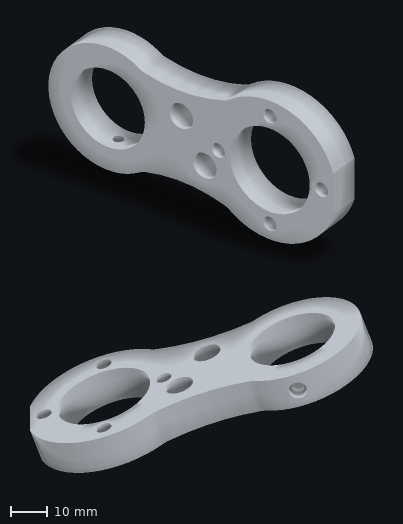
import cadquery as cq
import math

thickness = 10.0
small_ring_radius = 20.0
small_ring_x = -0.14
small_bore_diameter = 25.0
large_ring_radius = 22.5
large_bore_diameter = 27.0
bore_spacing = 54.79
overall_length = 96.43

waist_radius = 49.0
waist_centre_x = 24.3
waist_half_height = 14.6
waist_fillet_radius = 6.5

bolt_diameter = 4.5
bolt_circle_radius = 17.45
bolt_count = 4

link_hole_diameter = 8.0
link_midpoint_x = 28.8
link_half_offset_x = 4.0
link_half_offset_z = 6.6

set_screw_diameter = 3.3
counterbore_diameter = 4.99
counterbore_depth = 2.5


def disc(x, z, radius):
    """Full-thickness cylinder along Y, centred on the plate's mid-plane."""
    return cq.Workplane("XZ").center(x, z).circle(radius).extrude(thickness / 2, both=True)


def waist_web():
    """Block buried in both rings, scooped by one large arc above and one below."""
    web_start_x = small_ring_radius / 4
    web_length = bore_spacing - web_start_x
    web = cq.Workplane("XY").box(web_length, thickness, 2 * small_ring_radius)
    web = web.translate((web_start_x + web_length / 2, 0, 0))
    arc_centre_z = waist_half_height + waist_radius
    for side in (1, -1):
        web = web.cut(disc(waist_centre_x, side * arc_centre_z, waist_radius))
    return web


def link_body():
    """Two rings and their waist, with the four inner corners rounded."""
    small_disc = disc(small_ring_x, 0, small_ring_radius)
    large_disc = disc(bore_spacing, 0, large_ring_radius)
    body = small_disc.union(large_disc).union(waist_web())
    corner_box = cq.selectors.BoxSelector(
        (small_ring_radius / 4, -thickness, -large_ring_radius),
        (bore_spacing - large_ring_radius / 4, thickness, large_ring_radius),
    )
    return body.edges("|Y").edges(corner_box).fillet(waist_fillet_radius)


def trim_end(body):
    """Flat on the outer end of the large ring."""
    flat_x = small_ring_x - small_ring_radius + overall_length
    offcut = cq.Workplane("XY").box(large_ring_radius, 2 * thickness, 4 * large_ring_radius)
    return body.cut(offcut.translate((flat_x + large_ring_radius / 2, 0, 0)))


def cut_bores(body):
    body = body.cut(disc(0, 0, small_bore_diameter / 2))
    return body.cut(disc(bore_spacing, 0, large_bore_diameter / 2))


def cut_bolt_holes(body):
    for index in range(bolt_count):
        angle = 2 * math.pi * index / bolt_count
        x = bore_spacing + bolt_circle_radius * math.cos(angle)
        z = bolt_circle_radius * math.sin(angle)
        body = body.cut(disc(x, z, bolt_diameter / 2))
    return body


def cut_link_holes(body):
    for side in (1, -1):
        x = link_midpoint_x - side * link_half_offset_x
        z = side * link_half_offset_z
        body = body.cut(disc(x, z, link_hole_diameter / 2))
    return body


def cut_set_screw_hole(body):
    """Counterbored radial hole from the bottom of the small ring up into its bore."""
    bottom = cq.Workplane("XY").workplane(offset=-small_ring_radius)
    drill = bottom.circle(set_screw_diameter / 2).extrude(small_ring_radius)
    counterbore = bottom.circle(counterbore_diameter / 2).extrude(counterbore_depth)
    return body.cut(drill).cut(counterbore)


result = link_body()
result = trim_end(result)
result = cut_bores(result)
result = cut_bolt_holes(result)
result = cut_link_holes(result)
result = cut_set_screw_hole(result)